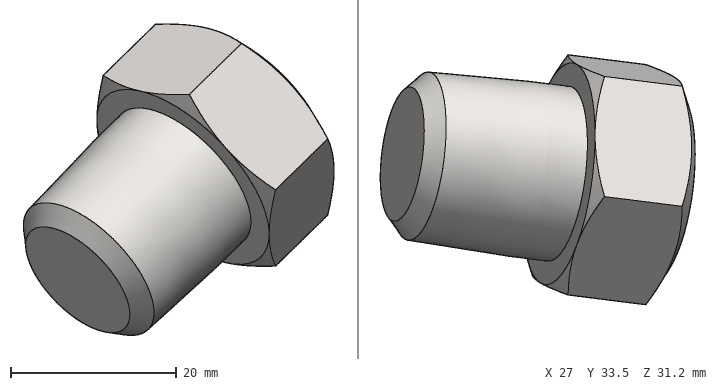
import cadquery as cq
import math

total_length = 33.5
across_flats = 27.0
head_length = 13.5
head_chamfer_angle = 30.0
back_face_diameter = 22.98
shank_diameter = 21.3
neck_length = 5.05
tip_chamfer = 2.08
thread_taper = 1 / 16

across_corners = across_flats / math.cos(math.radians(30))
corner_radius = across_corners / 2
chamfer_slope = math.tan(math.radians(head_chamfer_angle))
shank_length = total_length - head_length
taper_length = shank_length - neck_length - tip_chamfer
shank_radius = shank_diameter / 2
taper_end_radius = shank_radius - taper_length * thread_taper / 2
tip_radius = taper_end_radius - tip_chamfer


def revolve_profile(points):
    """Turn a closed (radius, y) outline around the Y axis."""
    profile = cq.Workplane("XY").polyline(points).close()
    return profile.revolve(360, (0, 0, 0), (0, 1, 0))


def make_head():
    """Hexagon with corners on Z, chamfered conically at both ends."""
    hexagon = (
        cq.Workplane("XZ")
        .polygon(6, across_corners)
        .extrude(-head_length)
        .rotate((0, 0, 0), (0, 1, 0), 90)
    )
    front_radius = across_flats / 2
    back_radius = back_face_diameter / 2
    front_drop = (corner_radius - front_radius) * chamfer_slope
    back_drop = (corner_radius - back_radius) * chamfer_slope
    chamfer_envelope = revolve_profile([
        (0, 0),
        (front_radius, 0),
        (corner_radius, front_drop),
        (corner_radius, head_length - back_drop),
        (back_radius, head_length),
        (0, head_length),
    ])
    return hexagon.intersect(chamfer_envelope)


def make_shank():
    """Cylindrical neck, tapered thread body and chamfered tip."""
    return revolve_profile([
        (0, 0),
        (shank_radius, 0),
        (shank_radius, -neck_length),
        (taper_end_radius, -neck_length - taper_length),
        (tip_radius, -shank_length),
        (0, -shank_length),
    ])


result = make_head().union(make_shank())